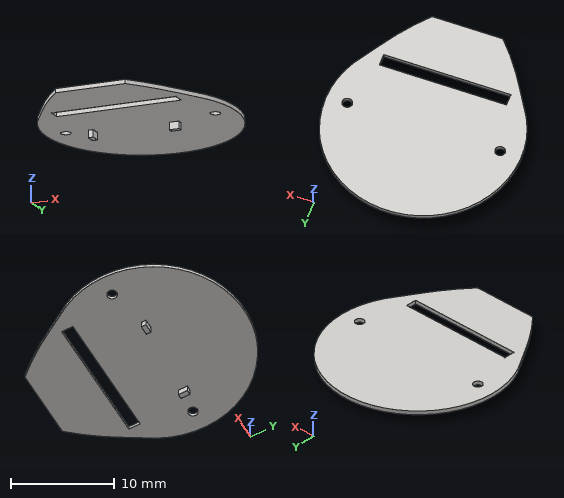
import cadquery as cq
import math

board_length = 22.3
disc_diameter = 20.08
disc_radius = disc_diameter / 2
board_thickness = 0.45
flat_width = 7.3
flat_y = disc_radius - board_length

flank_top_y = -5.75
flank_bottom_x = 7.22
flank_bottom_y = -7.4
bow_sagitta = 0.15

hole_diameter = 1.0
hole_spacing = 15.75
hole_y = -0.13
slot_length = 13.08
slot_width = 1.23
slot_x = -0.05
slot_y = -5.9

block_length = 1.0
block_width = 0.51
block_height = 0.75
block_places = [
    (-5.25, 0.38, 90),
    (3.17, 0.95, 0),
]


def bow_middle():
    """Middle point of the right-hand bow, pushed outward from its chord."""
    flat_x = flat_width / 2
    run_x = flank_bottom_x - flat_x
    run_y = flank_bottom_y - flat_y
    chord = math.hypot(run_x, run_y)
    middle_x = (flat_x + flank_bottom_x) / 2 + bow_sagitta * run_y / chord
    middle_y = (flat_y + flank_bottom_y) / 2 - bow_sagitta * run_x / chord
    return middle_x, middle_y


def make_board():
    flank_top_x = math.sqrt(disc_radius**2 - flank_top_y**2)
    bow_x, bow_y = bow_middle()
    board = (
        cq.Workplane("XY")
        .moveTo(-flat_width / 2, flat_y)
        .lineTo(flat_width / 2, flat_y)
        .threePointArc((bow_x, bow_y), (flank_bottom_x, flank_bottom_y))
        .lineTo(flank_top_x, flank_top_y)
        .threePointArc((0, disc_radius), (-flank_top_x, flank_top_y))
        .lineTo(-flank_bottom_x, flank_bottom_y)
        .threePointArc((-bow_x, bow_y), (-flat_width / 2, flat_y))
        .close()
        .extrude(board_thickness)
    )
    holes = (
        cq.Workplane("XY")
        .pushPoints([(-hole_spacing / 2, hole_y), (hole_spacing / 2, hole_y)])
        .circle(hole_diameter / 2)
        .extrude(board_thickness)
    )
    slot = (
        cq.Workplane("XY")
        .center(slot_x, slot_y)
        .rect(slot_length, slot_width)
        .extrude(board_thickness)
    )
    return board.cut(holes).cut(slot)


def make_block(x, y, turn):
    """Block hanging from the underside of the board."""
    return (
        cq.Workplane("XY")
        .rect(block_length, block_width)
        .extrude(-block_height)
        .rotate((0, 0, 0), (0, 0, 1), turn)
        .translate((x, y, 0))
    )


board = make_board()
blocks = [make_block(x, y, turn) for x, y, turn in block_places]

result = cq.Compound.makeCompound([board.val(), *[block.val() for block in blocks]])